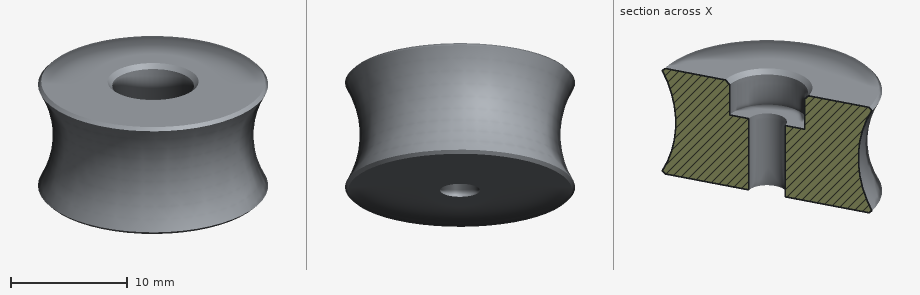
import cadquery as cq

outer_diameter = 19.7
height = 10.0
waist_diameter = 17.18
rim_chamfer = 0.28
bore_diameter = 3.4
counterbore_diameter = 7.0
counterbore_depth = 3.23
counterbore_chamfer = 0.4

outer_radius = outer_diameter / 2
waist_radius = waist_diameter / 2
half_height = height / 2
face_radius = outer_radius - rim_chamfer
groove_half_height = half_height - rim_chamfer


def make_roller_body():
    """Revolve a concave profile about Z, centred on the origin."""
    profile = (
        cq.Workplane("XZ")
        .moveTo(0, -half_height)
        .lineTo(face_radius, -half_height)
        .lineTo(outer_radius, -groove_half_height)
        .threePointArc((waist_radius, 0), (outer_radius, groove_half_height))
        .lineTo(face_radius, half_height)
        .lineTo(0, half_height)
        .close()
    )
    return profile.revolve(360, (0, 0, 0), (0, 1, 0))


def make_stepped_bore():
    """Through bore with a counterbore and lead-in chamfer at the top."""
    bore_radius = bore_diameter / 2
    counterbore_radius = counterbore_diameter / 2
    counterbore_floor = half_height - counterbore_depth
    profile = (
        cq.Workplane("XZ")
        .moveTo(0, -half_height)
        .lineTo(bore_radius, -half_height)
        .lineTo(bore_radius, counterbore_floor)
        .lineTo(counterbore_radius, counterbore_floor)
        .lineTo(counterbore_radius, half_height - counterbore_chamfer)
        .lineTo(counterbore_radius + counterbore_chamfer, half_height)
        .lineTo(0, half_height)
        .close()
    )
    return profile.revolve(360, (0, 0, 0), (0, 1, 0))


result = make_roller_body().cut(make_stepped_bore())